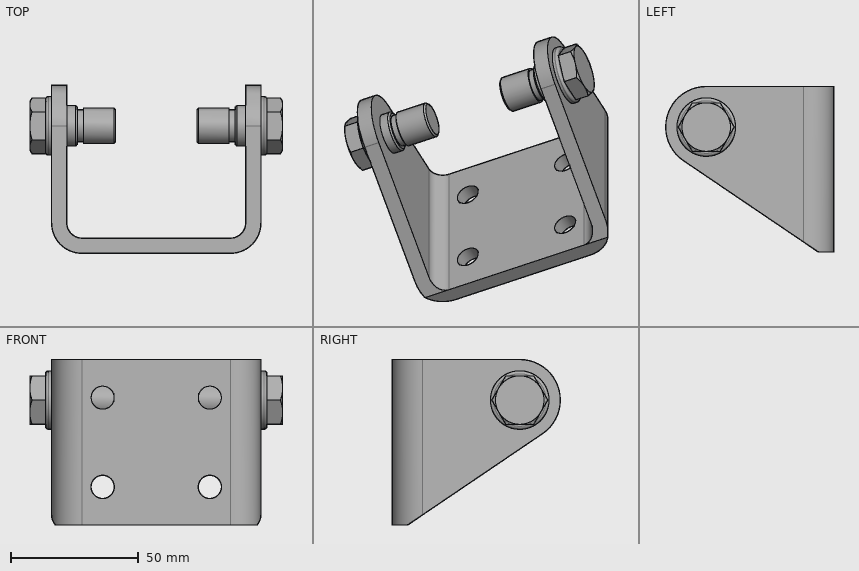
import cadquery as cq
import math

height = 65.0
depth = 66.0
inner_width = 70.1
thickness = 6.0
outer_bend_radius = 12.0
inner_bend_radius = outer_bend_radius - thickness
outer_width = inner_width + 2 * thickness
lug_radius = 16.0

hole_diameter = 9.0
hole_spacing_x = 42.0
hole_spacing_z = 35.0

bolt_y = depth - lug_radius
bolt_z = height - lug_radius

overall_width = 99.1
hexagon_sides = 6
head_flats = 19.0
head_face_diameter = head_flats
head_chamfer_angle = 30
head_height = 6.1
flange_diameter = 23.0
flange_round = 1.2
collar_diameter = 16.0
collar_end = 18.6
neck_diameter = 12.6
neck_end = 21.0
shank_diameter = 14.0
shank_end = 33.6
edge_chamfer = 0.7
flange_end = (overall_width - outer_width) / 2


def channel():
    """Full-height U channel with bent corners."""
    outer = (
        cq.Workplane("XY")
        .rect(outer_width, 2 * depth)
        .extrude(height)
        .translate((0, depth, 0))
        .edges("|Z and <Y")
        .fillet(outer_bend_radius)
    )
    inner = (
        cq.Workplane("XY")
        .rect(inner_width, 2 * depth)
        .extrude(height)
        .translate((0, depth + thickness, 0))
        .edges("|Z and <Y")
        .fillet(inner_bend_radius)
    )
    return outer.cut(inner)


def side_outline():
    """Prism with the side outline: round lug end and a sloped lower edge tangent to it."""
    reach = math.hypot(bolt_y - thickness, bolt_z)
    direction_to_start = math.atan2(-bolt_z, thickness - bolt_y)
    tangent_angle = direction_to_start + math.acos(lug_radius / reach)
    tangent_point = (
        bolt_y + lug_radius * math.cos(tangent_angle),
        bolt_z + lug_radius * math.sin(tangent_angle),
    )
    return (
        cq.Workplane("YZ")
        .moveTo(0, 0)
        .lineTo(0, height)
        .lineTo(bolt_y, height)
        .threePointArc((depth, bolt_z), tangent_point)
        .lineTo(thickness, 0)
        .close()
        .extrude(outer_width / 2, both=True)
    )


def mounting_holes():
    """Four cutters through the base wall."""
    return (
        cq.Workplane("XZ")
        .center(0, height / 2)
        .rect(hole_spacing_x, hole_spacing_z, forConstruction=True)
        .vertices()
        .circle(hole_diameter / 2)
        .extrude(-thickness)
    )


def cylinder(diameter, start, end):
    """Round bolt section between two stations on the X axis."""
    return cq.Workplane("YZ", origin=(start, 0, 0)).circle(diameter / 2).extrude(end - start)


def bolt_head():
    """Hexagon with two horizontal flats and corners trimmed by a cone."""
    head_corners = head_flats / math.cos(math.pi / hexagon_sides)
    hexagon = cq.Workplane("YZ").polygon(hexagon_sides, head_corners).extrude(head_height)
    corner_depth = (head_corners - head_face_diameter) / 2
    chamfer_length = corner_depth * math.tan(math.radians(head_chamfer_angle))
    envelope = (
        cylinder(head_corners, 0, head_height)
        .faces("<X")
        .chamfer(chamfer_length, corner_depth)
    )
    return hexagon.intersect(envelope)


def bolt():
    """Flanged bolt along X with its head face at the left end of the part."""
    flange = cylinder(flange_diameter, head_height, flange_end).faces("<X").edges().fillet(flange_round)
    collar = cylinder(collar_diameter, flange_end, collar_end).faces(">X").chamfer(edge_chamfer)
    neck = cylinder(neck_diameter, collar_end, neck_end)
    shank = cylinder(shank_diameter, neck_end, shank_end).faces(">X").chamfer(edge_chamfer)
    body = bolt_head().union(flange).union(collar).union(neck).union(shank)
    return body.translate((-overall_width / 2, bolt_y, bolt_z))


bracket = channel().intersect(side_outline()).cut(mounting_holes())
left_bolt = bolt()
right_bolt = left_bolt.mirror("YZ")
result = bracket.union(left_bolt).union(right_bolt)